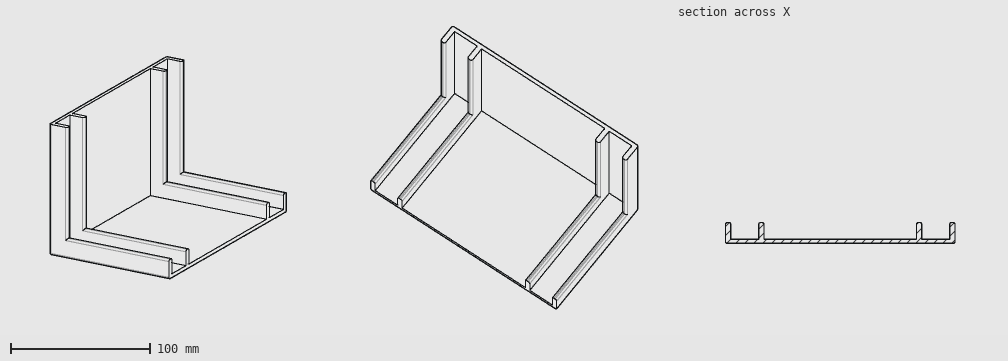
import cadquery as cq

leg_length = 100.0
width = 165.0

plate_thickness = 3.0
leg_depth = 15.0
rib_thickness = 4.0
rib_gap = 20.0
edge_radius = 1.5

tolerance = 0.02

half_width = width / 2
side_channel_center = half_width - rib_thickness - rib_gap / 2
middle_channel_width = width - 2 * (2 * rib_thickness + rib_gap)


def l_block(inset, depth, length_y, center_y):
    """L-shaped bar with its outer faces at x = z = inset and inner faces at x = z = depth."""
    outline = [
        (inset, inset),
        (leg_length, inset),
        (leg_length, depth),
        (depth, depth),
        (depth, leg_length),
        (inset, leg_length),
    ]
    bar = cq.Workplane("XZ").polyline(outline).close().extrude(length_y / 2, both=True)
    return bar.translate((0, center_y, 0))


body = l_block(0, leg_depth, width, 0)

channels = (
    (-side_channel_center, rib_gap),
    (0, middle_channel_width),
    (side_channel_center, rib_gap),
)
for center_y, channel_width in channels:
    body = body.cut(l_block(plate_thickness, leg_depth, channel_width, center_y))


def is_rounded(edge):
    """Rib tips, outer side edges of the legs, and the outer corner edge."""
    center = edge.Center()
    on_side = abs(abs(center.y) - half_width) < tolerance
    along_floor = abs(center.z - leg_depth) < tolerance or (on_side and abs(center.z) < tolerance)
    along_wall = abs(center.x - leg_depth) < tolerance or (on_side and abs(center.x) < tolerance)
    bounding_box = edge.BoundingBox()
    if bounding_box.xlen > leg_depth:
        return along_floor
    if bounding_box.zlen > leg_depth:
        return along_wall
    return abs(center.x) < tolerance and abs(center.z) < tolerance


rounded_edges = [edge for edge in body.edges().vals() if is_rounded(edge)]
result = body.newObject(rounded_edges).fillet(edge_radius)